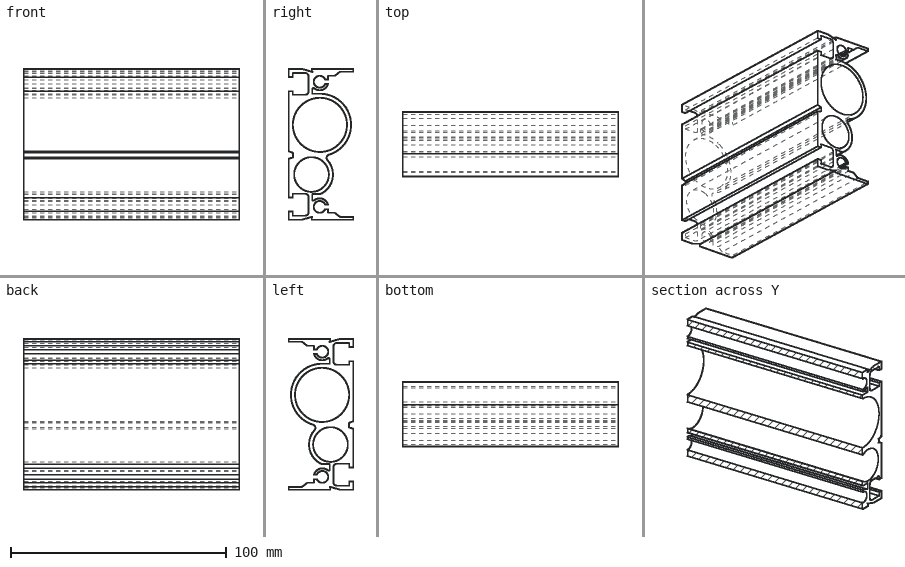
import cadquery as cq

length = 100.0
depth = 30.0
height = 70.0

wall = 2.0
large_bore_radius = 12.5
large_tube_radius = large_bore_radius + wall
large_center_inset = 26.0
large_center = (large_tube_radius, height - large_center_inset)
small_bore_radius = 8.0
small_tube_radius = small_bore_radius + wall
small_center = (10.6, 21.0)
neck_fillet = 1.5

core_top = large_center[1] + large_tube_radius
core_bottom = 11.9
web_back = 11.0

slot_back = 9.2
slot_inset = 2.0
slot_far_inset = 12.0
slot_fillet = 1.5
lip_thickness = 2.0
mouth_inset = 3.9
mouth_far_inset = 10.3

plate_thickness = 1.4
ramp_back = 23.8
ramp_front = 21.4
boss_back = 18.3
boss_inset = 3.3
notch_front = 6.2
notch_back = 10.6
notch_wall = 1.0
notch_root = 11.0
notch_depth = 1.4

channel_center = (14.4, 6.0)
channel_radius = 2.7
channel_outer_radius = 4.0
channel_gap = 2.0
neck_inset = 9.0
corner_fillet = 0.4

outer_rounding = 0.2
rounded_corners = [(0, 0), (0, mouth_inset), (notch_back, 0), (depth, 0)]

groove_z = 30.0
groove_depth = 2.0
groove_mouth_width = 3.4
groove_floor_width = 2.0


def prism(points):
    """Closed YZ outline run along the full length."""
    return cq.Workplane("YZ").polyline(points).close().extrude(length)


def bar(y_front, y_back, z_low, z_high):
    """Rectangular bar run along the full length."""
    return prism([(y_front, z_low), (y_back, z_low), (y_back, z_high), (y_front, z_high)])


def rod(center, radius):
    """Round bar run along the full length."""
    return cq.Workplane("YZ").center(*center).circle(radius).extrude(length)


def tube_core():
    """Both tubes joined to the front wall, with a rounded valley between them."""
    tubes = rod(large_center, large_tube_radius).union(rod(small_center, small_tube_radius))
    valley = cq.selectors.BoxSelector(
        (0, small_center[0], small_center[1]), (length, depth, large_center[1])
    )
    tubes = tubes.edges("|X").edges(valley).fillet(neck_fillet)
    front_wall = bar(0, small_center[0], core_bottom, core_top)
    large_shoulder = bar(0, large_center[0], large_center[1], core_top)
    envelope = bar(0, depth, core_bottom, core_top)
    return tubes.union(front_wall).union(large_shoulder).intersect(envelope)


def end_solid(core_inset):
    """End plate, web and screw channel wall, with the outer end face at Z = 0."""
    channel_y, channel_z = channel_center
    plate = prism([
        (0, 0),
        (depth, 0),
        (depth, plate_thickness),
        (ramp_back, plate_thickness),
        (ramp_front, boss_inset),
        (boss_back, boss_inset),
        (boss_back, channel_z),
        (0, channel_z),
    ])
    block = bar(0, channel_y, 0, core_inset)
    recess = bar(web_back, depth, neck_inset, core_inset).edges("|X and <Y and <Z").fillet(corner_fillet)
    channel_wall = rod(channel_center, channel_outer_radius).intersect(bar(0, boss_back, 0, core_inset))
    return block.cut(recess).union(plate).union(channel_wall)


def end_cutters():
    """T-slot, screw channel and end face notch, with the outer end face at Z = 0."""
    channel_y, channel_z = channel_center
    half_gap = channel_gap / 2
    slot = bar(lip_thickness, slot_back, slot_inset, slot_far_inset).edges("|X and >Y").fillet(slot_fillet)
    mouth = bar(0, lip_thickness, mouth_inset, mouth_far_inset)
    channel = rod(channel_center, channel_radius)
    channel_mouth = bar(channel_y, depth, channel_z - half_gap, channel_z + half_gap)
    notch = prism([
        (notch_front, 0),
        (notch_back, 0),
        (notch_back, notch_wall),
        (notch_root, notch_depth),
    ])
    return [slot, mouth, channel, channel_mouth, notch]


def at_top(shape):
    """Mirror a shape made for the bottom end to the top end."""
    return shape.mirror("XY", (0, 0, height / 2))


def front_groove():
    """Groove in the front face that narrows towards its floor."""
    half_mouth = groove_mouth_width / 2
    half_floor = groove_floor_width / 2
    return prism([
        (0, groove_z - half_mouth),
        (groove_depth, groove_z - half_floor),
        (groove_depth, groove_z + half_floor),
        (0, groove_z + half_mouth),
    ])


def round_corner(body, y, z):
    """Round the lengthwise edge that passes through the given YZ corner."""
    corner = cq.selectors.NearestToPointSelector((length / 2, y, z))
    return body.edges("|X").edges(corner).fillet(outer_rounding)


result = tube_core().union(end_solid(core_bottom)).union(at_top(end_solid(height - core_top)))
for end_cutter in end_cutters():
    result = result.cut(end_cutter).cut(at_top(end_cutter))
for opening in (rod(large_center, large_bore_radius), rod(small_center, small_bore_radius), front_groove()):
    result = result.cut(opening)
for corner_y, corner_inset in rounded_corners:
    result = round_corner(result, corner_y, corner_inset)
    result = round_corner(result, corner_y, height - corner_inset)